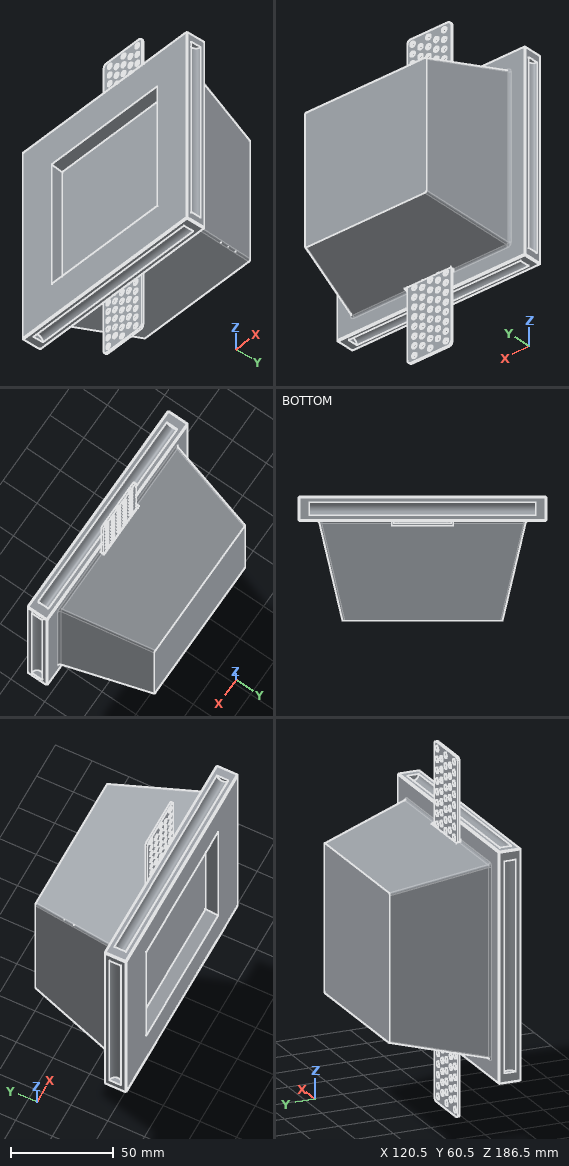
import cadquery as cq

frame_side = 120.5
frame_thickness = 12.0
frame_edge_chamfer = 0.5
total_depth = 60.5

box_base_side = 100.7
box_rear_side = 77.8
box_edge_radius = 1.1
box_root_radius = 1.3
selection_margin = 0.2

groove_length = 109.8
groove_width = 6.2
groove_angles = (0, 90, 180, 270)

recess_side = 77.0
recess_floor_height = 75.2
recess_depth = 6.9
panel_thickness = frame_thickness - recess_depth

total_height = 186.5
strip_width = 28.0
strip_thickness = 1.1
strip_corner_radius = 2.2
strip_inner_z = 44.8
strip_angles = (0, 180)
hole_diameter = 3.0
column_pitch = 5.0
column_count = 5
row_pitch = 5.6
row_count = 8
hole_pattern_offset = 0.5
first_row_inset = 3.4
stagger = 3.5

pocket_width = 29.8
pocket_depth = 2.2

strip_outer_z = total_height / 2
strip_length = strip_outer_z - strip_inner_z
strip_center_z = strip_inner_z + strip_length / 2


def box_block(width, height, y_start, y_length, z_center=0.0):
    """Rectangular block centred on x = 0, starting at y_start."""
    block = cq.Workplane("XY").box(width, y_length, height)
    return block.translate((0, y_start + y_length / 2, z_center))


def make_frame():
    frame = box_block(frame_side, frame_side, 0, frame_thickness)
    return frame.edges().chamfer(frame_edge_chamfer)


def make_box():
    """Square frustum that narrows towards the rear, with rounded long edges."""
    box = (
        cq.Workplane("XZ", origin=(0, frame_thickness, 0))
        .rect(box_base_side, box_base_side)
        .workplane(offset=frame_thickness - total_depth)
        .rect(box_rear_side, box_rear_side)
        .loft()
    )
    return box.edges("not(#Y)").fillet(box_edge_radius)


def groove_cutter():
    """Half-round bar lying along the upper side of the frame."""
    return (
        cq.Workplane("YZ", origin=(-groove_length / 2, frame_thickness / 2, frame_side / 2))
        .circle(groove_width / 2)
        .extrude(groove_length)
    )


def recess_cutter():
    """Front recess that gets lower, but not narrower, towards its floor."""
    return (
        cq.Workplane("XZ")
        .rect(recess_side, recess_side)
        .workplane(offset=-recess_depth)
        .rect(recess_side, recess_floor_height)
        .loft()
    )


def make_panel():
    """Plate that closes the recess and reaches back to the rear of the frame."""
    return box_block(recess_side, recess_floor_height, recess_depth, panel_thickness)


def pocket_cutter():
    """Clearance for the inner end of the upper strip."""
    return box_block(
        pocket_width, strip_length, frame_thickness, pocket_depth, strip_center_z
    )


def turned(shape, angle):
    """Shape turned about the y axis through the middle of the frame."""
    return shape.rotate((0, 0, 0), (0, 1, 0), angle)


def box_root_edges():
    """Selector for the edges where the box meets the back of the frame."""
    half_side = box_base_side / 2 + selection_margin
    return cq.selectors.BoxSelector(
        (-half_side, frame_thickness - selection_margin, -half_side),
        (half_side, frame_thickness + selection_margin, half_side),
    )


def make_housing():
    """Frame and box in one piece, with the grooves, strip pockets and recess cut in."""
    housing = make_frame().union(make_box())
    housing = housing.edges(box_root_edges()).fillet(box_root_radius)
    for angle in groove_angles:
        housing = housing.cut(turned(groove_cutter(), angle))
    for angle in strip_angles:
        housing = housing.cut(turned(pocket_cutter(), angle))
    return housing.cut(recess_cutter()).cut(make_panel())


def hole_centers():
    """Hole centres (x, z) in columns, every second column staggered inwards."""
    centers = []
    for column in range(column_count):
        x = hole_pattern_offset + (column - (column_count - 1) / 2) * column_pitch
        top_z = strip_outer_z - first_row_inset - stagger * (column % 2)
        for row in range(row_count):
            centers.append((x, top_z - row * row_pitch))
    return centers


def make_strip(angle):
    """Perforated strip standing in its pocket, against the back of the frame."""
    strip = box_block(
        strip_width, strip_length, frame_thickness, strip_thickness, strip_center_z
    )
    strip = strip.faces(">Z").edges("|Y").fillet(strip_corner_radius)
    holes = (
        cq.Workplane("XZ", origin=(0, frame_thickness, 0))
        .pushPoints(hole_centers())
        .circle(hole_diameter / 2)
        .extrude(-strip_thickness)
    )
    return turned(strip.cut(holes), angle)


housing = make_housing()
panel = make_panel()
strips = [make_strip(angle) for angle in strip_angles]

result = cq.Compound.makeCompound([housing.val(), panel.val(), *[strip.val() for strip in strips]])